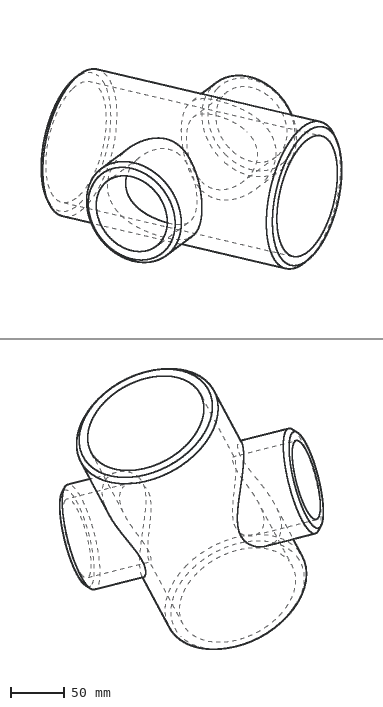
import cadquery as cq

wall_thickness = 12.7

run_length = 247.9
run_outer_diameter = 141.3
run_bore_diameter = run_outer_diameter - 2 * wall_thickness

branch_length = 228.6
branch_outer_diameter = 101.6
branch_bore_diameter = branch_outer_diameter - 2 * wall_thickness

end_bevel = 4.2


def centred_cylinder(plane, diameter, length):
    """Cylinder centred on the origin, with its axis normal to the plane."""
    return cq.Workplane(plane).circle(diameter / 2).extrude(length / 2, both=True)


def bevelled_bar(plane, diameter, length):
    """Solid cylinder with both end edges bevelled."""
    bar = centred_cylinder(plane, diameter, length)
    return bar.edges("%CIRCLE").chamfer(end_bevel)


run_body = bevelled_bar("YZ", run_outer_diameter, run_length)
branch_body = bevelled_bar("XZ", branch_outer_diameter, branch_length)
cross_body = run_body.union(branch_body)

run_bore = centred_cylinder("YZ", run_bore_diameter, run_length)
branch_bore = centred_cylinder("XZ", branch_bore_diameter, branch_length)

result = cross_body.cut(run_bore).cut(branch_bore)